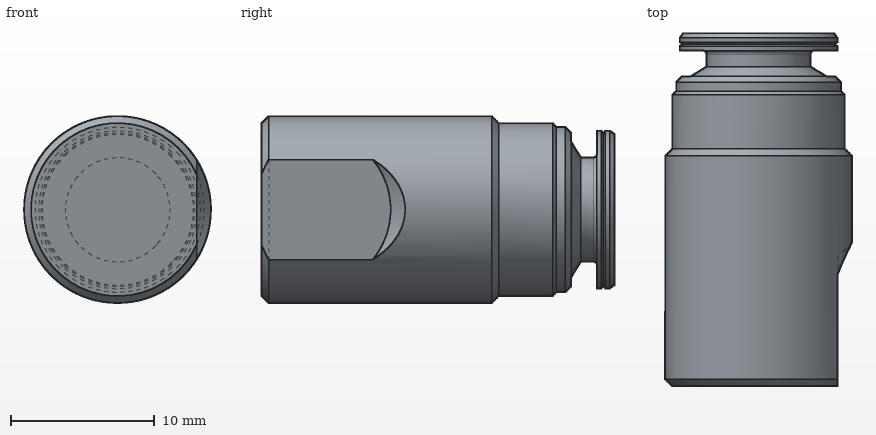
import cadquery as cq

length = 24.53
body_radius = 6.5
front_end = -length / 2
rear_end = length / 2

body_chamfer = 0.5
body_length = 16.48

flat_offset = 5.5
cutter_axis_distance = 3.48
cutter_radius = 5.5
cutter_wall_angle = 45.0

shoulder_radius = 6.0
shoulder_length = 3.75
shoulder_bevel = 0.25
collar_radius = 5.75
collar_length = 0.65
collar_chamfer = 0.4

taper_radius = 4.73
taper_length = 0.69
neck_radius = 3.63
neck_fillet = 0.25

flange_radius = 5.5
flange_thickness = 1.23
flange_chamfer_length = 0.35
flange_chamfer_depth = 0.25
rear_disc_width = 0.3
groove_width = 0.27
groove_depth = 0.25

box_margin = 0.02


def fillet_circle(solid, radius, y):
    """Round the inside corner that runs along the circle of this radius about the Y axis."""
    half_box = radius + box_margin
    box = cq.selectors.BoxSelector(
        (-half_box, y - box_margin, -half_box),
        (half_box, y + box_margin, half_box),
        boundingbox=True,
    )
    return solid.edges(box).fillet(neck_fillet)


def turned_body():
    """Solid of revolution about Y, drawn as (radius, y) from front to rear."""
    body_rear = front_end + body_length
    shoulder_rear = body_rear + shoulder_length
    collar_front = shoulder_rear + shoulder_bevel
    collar_chamfer_start = collar_front + collar_length
    collar_rear = collar_chamfer_start + collar_chamfer
    neck_front = collar_rear + taper_length
    flange_front = rear_end - flange_thickness
    flange_chamfer_start = rear_end - flange_chamfer_length
    groove_rear = flange_chamfer_start - rear_disc_width
    groove_front = groove_rear - groove_width

    profile = [
        (0, front_end),
        (body_radius - body_chamfer, front_end),
        (body_radius, front_end + body_chamfer),
        (body_radius, body_rear - body_chamfer),
        (body_radius - body_chamfer, body_rear),
        (shoulder_radius, shoulder_rear),
        (collar_radius, collar_front),
        (collar_radius, collar_chamfer_start),
        (collar_radius - collar_chamfer, collar_rear),
        (taper_radius, collar_rear),
        (neck_radius, neck_front),
        (neck_radius, flange_front),
        (flange_radius, flange_front),
        (flange_radius, groove_front),
        (flange_radius - groove_depth, (groove_front + groove_rear) / 2),
        (flange_radius, groove_rear),
        (flange_radius, flange_chamfer_start),
        (flange_radius - flange_chamfer_depth, rear_end),
        (0, rear_end),
    ]
    solid = cq.Workplane("XY").polyline(profile).close().revolve(360, (0, 0, 0), (0, 1, 0))
    return fillet_circle(fillet_circle(solid, neck_radius, flange_front), taper_radius, collar_rear)


def flat_cutter():
    """Cone about an X-parallel axis: its small end forms the flat, its wall the run-out."""
    cut_depth = body_radius - flat_offset
    small_end = (flat_offset, front_end + cutter_axis_distance, 0)
    plane = cq.Plane(origin=small_end, xDir=(0, 1, 0), normal=(1, 0, 0))
    return cq.Workplane(plane).circle(cutter_radius).extrude(cut_depth, taper=-cutter_wall_angle)


result = turned_body().cut(flat_cutter())